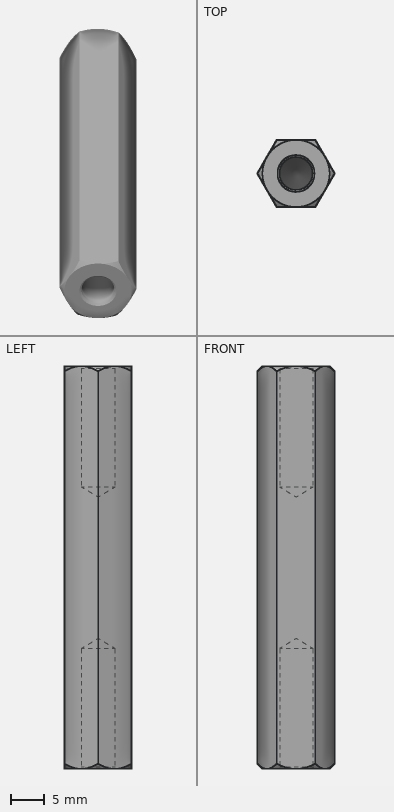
import cadquery as cq
import math

length = 60.0
across_flats = length / 6
across_corners = across_flats / math.cos(math.pi / 6)

bevel_start_radius = across_flats / 2
corner_radius = across_corners / 2
bevel = corner_radius - bevel_start_radius

hole_radius = 4.9 / 2
mouth_radius = 5.5 / 2
hole_depth = 18.0
drill_tip_angle = 118.0
mouth_depth = mouth_radius - hole_radius
tip_depth = hole_radius / math.tan(math.radians(drill_tip_angle / 2))


def revolve_profile(points):
    """Revolve a closed (radius, height) outline about the Z axis."""
    return cq.Workplane("XZ").polyline(points).close().revolve(360, (0, 0, 0), (0, 1, 0))


def make_body():
    """Hexagonal bar whose corners are turned down at both ends."""
    bar = cq.Workplane("XY").polygon(6, across_corners).extrude(length)
    turned_envelope = revolve_profile([
        (0, 0),
        (bevel_start_radius, 0),
        (corner_radius, bevel),
        (corner_radius, length - bevel),
        (bevel_start_radius, length),
        (0, length),
    ])
    return bar.intersect(turned_envelope)


def make_top_hole():
    """Solid to cut away for the hole in the top end."""
    return revolve_profile([
        (0, length),
        (mouth_radius, length),
        (hole_radius, length - mouth_depth),
        (hole_radius, length - hole_depth),
        (0, length - hole_depth - tip_depth),
    ])


top_hole = make_top_hole()
bottom_hole = top_hole.mirror("XY", (0, 0, length / 2))
result = make_body().cut(top_hole).cut(bottom_hole)